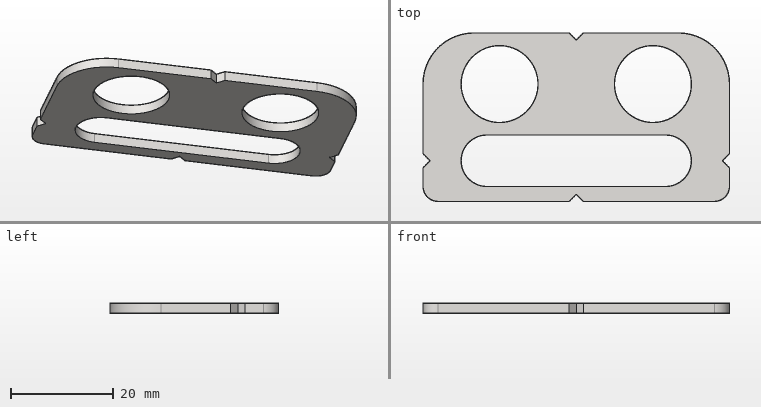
import cadquery as cq

length = 60.0
width = 33.0
thickness = 2.0
top_corner_radius = 10.0
bottom_corner_radius = 3.0

hole_diameter = 15.0
hole_spacing = length / 2
hole_y = width / 2 - top_corner_radius

slot_length = hole_spacing + hole_diameter
slot_height = 10.0
slot_y = hole_y - hole_diameter

notch_side = 2.0
notch_turn = 45


def make_plate():
    plate = cq.Workplane("XY").box(length, width, thickness)
    plate = plate.edges("|Z and >Y").fillet(top_corner_radius)
    return plate.edges("|Z and <Y").fillet(bottom_corner_radius)


def cut_openings(plate):
    hole_places = [(-hole_spacing / 2, hole_y), (hole_spacing / 2, hole_y)]
    holed = plate.faces(">Z").workplane(origin=(0, 0, 0)).pushPoints(hole_places).hole(hole_diameter)
    slotted = holed.faces(">Z").workplane(origin=(0, 0, 0)).center(0, slot_y)
    return slotted.slot2D(slot_length, slot_height).cutThruAll()


def make_notch(x, y):
    notch = cq.Workplane("XY").box(notch_side, notch_side, 2 * thickness)
    return notch.rotate((0, 0, 0), (0, 0, 1), notch_turn).translate((x, y, 0))


result = cut_openings(make_plate())

notch_places = [
    (0, width / 2),
    (0, -width / 2),
    (-length / 2, slot_y),
    (length / 2, slot_y),
]
for x, y in notch_places:
    result = result.cut(make_notch(x, y))